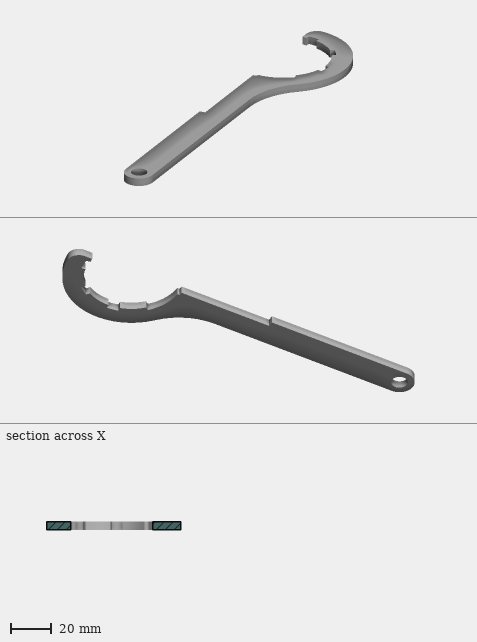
import cadquery as cq
import math

length = 195.0
width = 39.5
thickness = 4.0

handle_width = 15.0
handle_radius = handle_width / 2
hole_diameter = 8.2
neck_step = 3.0
neck_start_y = 76.8
neck_left = neck_step - handle_radius

outer_radius = 34.1
inner_radius = 23.5
groove_radius = 25.7
hook_x = width - handle_radius - outer_radius
tip_radius = 5.8
tip_x = neck_left + tip_radius
tip_y = length - handle_radius - tip_radius
tip_rise = math.sqrt((outer_radius - tip_radius) ** 2 - (tip_x - hook_x) ** 2)
hook_y = tip_y - tip_rise
tip_depth = 23.8
blend_radius = 35.0

notch_width = 6.0
notch_pitch = 46.0
first_notch_angle = 83.0
notch_count = 3
notch_inner_end = inner_radius / 2
ledge_width = 2.0
ledge_y = 126.5


def hook_point(radius, angle):
    """Point on a circle about the hook centre, angle in degrees."""
    turn = math.radians(angle)
    return hook_x + radius * math.cos(turn), hook_y + radius * math.sin(turn)


def make_blank():
    """Handle, neck and hook, with the bore still filled."""
    blend_x = handle_radius + blend_radius
    centre_distance = outer_radius + blend_radius
    blend_drop = math.sqrt(centre_distance**2 - (blend_x - hook_x) ** 2)
    blend_y = hook_y - blend_drop
    blend_end_angle = -math.degrees(math.atan2(blend_drop, blend_x - hook_x))
    blend_mid_turn = math.radians((360 + blend_end_angle) / 2)
    blend_mid = (
        blend_x + blend_radius * math.cos(blend_mid_turn),
        blend_y + blend_radius * math.sin(blend_mid_turn),
    )

    tip_angle = math.degrees(math.atan2(tip_rise, tip_x - hook_x))
    tip_mid_turn = math.radians((tip_angle + 180) / 2)
    tip_mid = (
        tip_x + tip_radius * math.cos(tip_mid_turn),
        tip_y + tip_radius * math.sin(tip_mid_turn),
    )

    return (
        cq.Workplane("XY")
        .moveTo(-handle_radius, 0)
        .threePointArc((0, -handle_radius), (handle_radius, 0))
        .lineTo(handle_radius, blend_y)
        .threePointArc(blend_mid, hook_point(outer_radius, blend_end_angle))
        .threePointArc(
            hook_point(outer_radius, (blend_end_angle + tip_angle) / 2),
            hook_point(outer_radius, tip_angle),
        )
        .threePointArc(tip_mid, (neck_left, tip_y))
        .lineTo(neck_left, neck_start_y)
        .lineTo(-handle_radius, neck_start_y)
        .close()
        .extrude(thickness)
    )


def make_bore():
    """Bore with its left side opened between the hook tip and the neck ledge."""
    bore = cq.Workplane("XY").center(hook_x, hook_y).circle(inner_radius).extrude(thickness)
    opening_height = hook_y + tip_depth - ledge_y
    opening = cq.Workplane("XY").box(
        neck_left + ledge_width + handle_radius, opening_height, thickness, centered=False
    )
    return bore.union(opening.translate((-handle_radius, ledge_y, 0)))


def make_notch(angle, trailing_width):
    """Cutter ending on the groove circle; trailing_width is its reach clockwise of the angle."""
    groove = cq.Workplane("XY").center(hook_x, hook_y).circle(groove_radius).extrude(thickness)
    slot = (
        cq.Workplane("XY")
        .box(outer_radius, notch_width / 2 + trailing_width, thickness, centered=False)
        .translate((notch_inner_end, -trailing_width, 0))
        .rotate((0, 0, 0), (0, 0, 1), angle)
        .translate((hook_x, hook_y, 0))
    )
    return groove.intersect(slot)


hanging_hole = cq.Workplane("XY").circle(hole_diameter / 2).extrude(thickness)

result = make_blank().cut(make_bore()).cut(hanging_hole)
for index in range(notch_count):
    result = result.cut(make_notch(first_notch_angle - index * notch_pitch, notch_width / 2))

result = result.cut(make_notch(first_notch_angle - notch_count * notch_pitch, groove_radius))